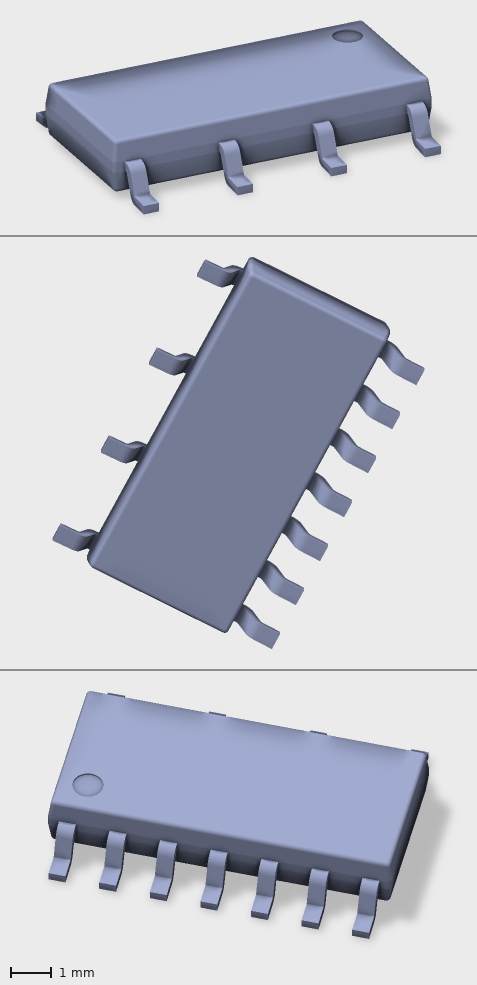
import cadquery as cq
import math

BODY_WIDTH = 3.9
BODY_LENGTH = 8.65
BODY_BOTTOM = 0.15
BODY_TOP = 1.55
BELT_BOTTOM = 0.73
BELT_TOP = 0.995
DRAFT_ANGLE = 7.0
CORNER_RADIUS = 0.1
RIM_RADIUS = 0.1

MARK_DIAMETER = 0.75
MARK_DEPTH = 0.05
MARK_X = -1.13
MARK_Y = 3.5

LEAD_SPAN = 6.03
LEAD_WIDTH = 0.42
LEAD_THICKNESS = 0.225
LEAD_PITCH = 1.27
LEAD_ROWS = 7
LEAD_EMBED = 0.17
FOOT_LENGTH = 0.51
FOOT_ANGLE = 4.0
LEG_ANGLE = 67.5
SHOULDER_INNER_RADIUS = 0.09
FOOT_INNER_RADIUS = 0.035


def body_half(start_z, height):
    """Drafted block that narrows from the belt edge at start_z."""
    return (
        cq.Workplane("XY", origin=(0, 0, start_z))
        .rect(BODY_WIDTH, BODY_LENGTH)
        .extrude(height, taper=DRAFT_ANGLE)
    )


def make_body():
    """Body with a straight belt, drafted halves above and below, and rounded edges."""
    belt = cq.Workplane("XY", origin=(0, 0, BELT_BOTTOM)).rect(BODY_WIDTH, BODY_LENGTH)
    body = belt.extrude(BELT_TOP - BELT_BOTTOM)
    body = body.union(body_half(BELT_TOP, BODY_TOP - BELT_TOP))
    body = body.union(body_half(BELT_BOTTOM, BODY_BOTTOM - BELT_BOTTOM))
    body = body.edges("not(#Z)").fillet(CORNER_RADIUS)
    body = body.faces("<Z or >Z").edges().fillet(RIM_RADIUS)
    mark = (
        cq.Workplane("XY", origin=(MARK_X, MARK_Y, BODY_TOP))
        .circle(MARK_DIAMETER / 2)
        .extrude(-MARK_DEPTH)
    )
    return body.cut(mark)


def make_lead():
    """One lead on the +X side, centred on Y = 0."""
    leg = math.radians(LEG_ANGLE)
    foot = math.radians(FOOT_ANGLE)
    tip_x = LEAD_SPAN / 2
    root_x = BODY_WIDTH / 2 - LEAD_EMBED
    shoulder_top = (BELT_BOTTOM + BELT_TOP + LEAD_THICKNESS) / 2
    shoulder_bottom = shoulder_top - LEAD_THICKNESS
    tip_top = LEAD_THICKNESS / math.cos(foot)

    heel_top_x = tip_x - FOOT_LENGTH
    heel_top_z = tip_top + FOOT_LENGTH * math.tan(foot)
    knee_top_x = heel_top_x - (shoulder_top - heel_top_z) / math.tan(leg)
    knee_bottom_x = knee_top_x - LEAD_THICKNESS * math.tan(leg / 2)
    heel_mitre = LEAD_THICKNESS / math.cos((leg - foot) / 2)
    mitre_angle = (leg + foot) / 2
    heel_bottom_x = heel_top_x - heel_mitre * math.sin(mitre_angle)
    heel_bottom_z = heel_top_z - heel_mitre * math.cos(mitre_angle)

    lead = (
        cq.Workplane("XZ", origin=(0, LEAD_WIDTH / 2, 0))
        .polyline([
            (root_x, shoulder_top),
            (knee_top_x, shoulder_top),
            (heel_top_x, heel_top_z),
            (tip_x, tip_top),
            (tip_x, 0),
            (heel_bottom_x, heel_bottom_z),
            (knee_bottom_x, shoulder_bottom),
            (root_x, shoulder_bottom),
        ])
        .close()
        .extrude(LEAD_WIDTH)
    )
    bends = [
        (knee_top_x, shoulder_top, SHOULDER_INNER_RADIUS + LEAD_THICKNESS),
        (knee_bottom_x, shoulder_bottom, SHOULDER_INNER_RADIUS),
        (heel_top_x, heel_top_z, FOOT_INNER_RADIUS),
        (heel_bottom_x, heel_bottom_z, FOOT_INNER_RADIUS + LEAD_THICKNESS),
    ]
    for x, z, radius in bends:
        lead = lead.edges(cq.NearestToPointSelector((x, 0, z))).fillet(radius)
    return lead


result = make_body()
right_lead = make_lead()
left_lead = right_lead.mirror("YZ")
for row in range(LEAD_ROWS):
    row_y = (row - (LEAD_ROWS - 1) / 2) * LEAD_PITCH
    result = result.union(left_lead.translate((0, row_y, 0)))
    if row % 2 == 0:
        result = result.union(right_lead.translate((0, row_y, 0)))